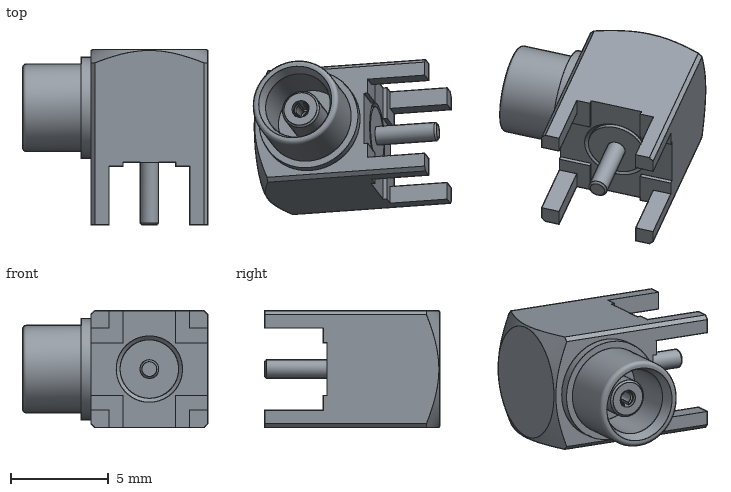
import cadquery as cq
import math


body_side = 6.0
body_back = 6.0
edge_chamfer = 0.2
back_cone_radius = 2.9
back_cone_angle = 30.0
half_side = body_side / 2

leg_length = 3.0
leg_width_x = 0.94
leg_width_z = 0.9
pad_size = 1.65
pad_height = 0.2

plug_radius = 1.5
plug_seat_chamfer = 0.2
pin_radius = 0.48
pin_tip_chamfer = 0.1

axis_y = body_back / 2
flange_radius = 2.6
flange_length = 0.5
barrel_radius = 2.25
barrel_length = 3.0
rim_fillet = 0.2
barrel_mouth_x = -(half_side + flange_length + barrel_length)

mouth_radius = 1.92
bore_radius = 1.7
mouth_taper_depth = 0.6
bore_depth = barrel_length + flange_length

boss_radius = 0.97
boss_chamfer = 0.1
boss_recess = 1.2

contact_hole_radius = 0.44
contact_radius = 0.4
contact_recess = 0.15
contact_length = 1.5
socket_radius = 0.29
socket_depth = 1.2
socket_chamfer = 0.07
socket_tip_half_angle = 59.0
slot_width = 0.26


def corner_blocks(size_x, size_z, front_y):
    """Four blocks in the housing corners, reaching from front_y into the housing."""
    offset_x = half_side - size_x / 2
    offset_z = half_side - size_z / 2
    return (
        cq.Workplane("XZ", origin=(0, axis_y, 0))
        .rect(2 * offset_x, 2 * offset_z, forConstruction=True)
        .vertices()
        .rect(size_x, size_z)
        .extrude(axis_y - front_y)
    )


def along_barrel(radius, start, length):
    """Cylinder on the barrel axis; start is its depth behind the barrel mouth."""
    plane = cq.Plane(origin=(barrel_mouth_x + start, axis_y, 0), xDir=(0, 1, 0), normal=(1, 0, 0))
    return cq.Workplane(plane).circle(radius).extrude(length)


def revolve_along_barrel(profile, start):
    """Revolve (depth, radius) points about the barrel axis, depths counted from start."""
    outline = cq.Workplane("XY", origin=(barrel_mouth_x + start, axis_y, 0)).polyline(profile).close()
    return outline.revolve(360, (0, 0, 0), (1, 0, 0))


def along_pin(radius, front_y, back_y):
    """Cylinder on the signal pin axis between two Y positions."""
    return cq.Workplane("XZ", origin=(0, back_y, 0)).circle(radius).extrude(back_y - front_y)


def make_housing():
    main_length = body_back - pad_height
    housing = cq.Workplane("XY").box(body_side, main_length, body_side)
    housing = housing.translate((0, pad_height + main_length / 2, 0))
    housing = housing.union(corner_blocks(pad_size, pad_size, 0))
    housing = housing.union(corner_blocks(leg_width_x, leg_width_z, -leg_length))

    total_length = body_back + leg_length
    envelope = cq.Workplane("XZ", origin=(0, body_back, 0)).rect(body_side, body_side)
    envelope = envelope.extrude(total_length).edges("|Y").chamfer(edge_chamfer)

    outer_radius = body_side
    cone_drop = (outer_radius - back_cone_radius) * math.tan(math.radians(back_cone_angle))
    turned = (
        cq.Workplane("XY")
        .moveTo(0, -leg_length)
        .lineTo(outer_radius, -leg_length)
        .lineTo(outer_radius, body_back - cone_drop)
        .lineTo(back_cone_radius, body_back)
        .lineTo(0, body_back)
        .close()
        .revolve(360, (0, 0, 0), (0, 1, 0))
    )
    return housing.intersect(envelope).intersect(turned)


def add_plug_and_pin(part):
    seat_bottom = pad_height + plug_seat_chamfer
    seat_mouth = cq.Solid.makeCone(
        plug_radius + plug_seat_chamfer,
        plug_radius,
        plug_seat_chamfer,
        cq.Vector(0, pad_height, 0),
        cq.Vector(0, 1, 0),
    )
    plug = along_pin(plug_radius, pad_height, seat_bottom)
    pin = along_pin(pin_radius, -leg_length, seat_bottom).faces("<Y").chamfer(pin_tip_chamfer)
    return part.cut(seat_mouth).union(plug).union(pin)


def add_barrel(part):
    barrel = along_barrel(barrel_radius, 0, barrel_length + flange_length)
    barrel = barrel.faces("<X").edges().fillet(rim_fillet)
    flange = along_barrel(flange_radius, barrel_length, flange_length)
    bore_profile = [
        (0, 0),
        (0, mouth_radius),
        (mouth_taper_depth, bore_radius),
        (bore_depth, bore_radius),
        (bore_depth, 0),
    ]
    bore = revolve_along_barrel(bore_profile, 0)
    return part.union(barrel).union(flange).cut(bore)


def make_contact():
    contact_start = boss_recess + contact_recess
    contact = along_barrel(contact_radius, contact_start, contact_length)
    tip_depth = socket_radius / math.tan(math.radians(socket_tip_half_angle))
    socket_profile = [
        (0, 0),
        (0, socket_radius + socket_chamfer),
        (socket_chamfer, socket_radius),
        (socket_depth, socket_radius),
        (socket_depth + tip_depth, 0),
    ]
    socket = revolve_along_barrel(socket_profile, contact_start)
    slot = cq.Workplane("XY").box(socket_depth, slot_width, 2 * contact_radius)
    slot = slot.translate((barrel_mouth_x + contact_start + socket_depth / 2, axis_y, 0))
    return contact.cut(socket).cut(slot)


def add_boss_and_contact(part):
    boss = along_barrel(boss_radius, boss_recess, bore_depth - boss_recess)
    boss = boss.faces("<X").edges().chamfer(boss_chamfer)
    hole = along_barrel(contact_hole_radius, boss_recess, contact_recess + contact_length)
    return part.union(boss).cut(hole).union(make_contact())


result = make_housing()
result = add_plug_and_pin(result)
result = add_barrel(result)
result = add_boss_and_contact(result)